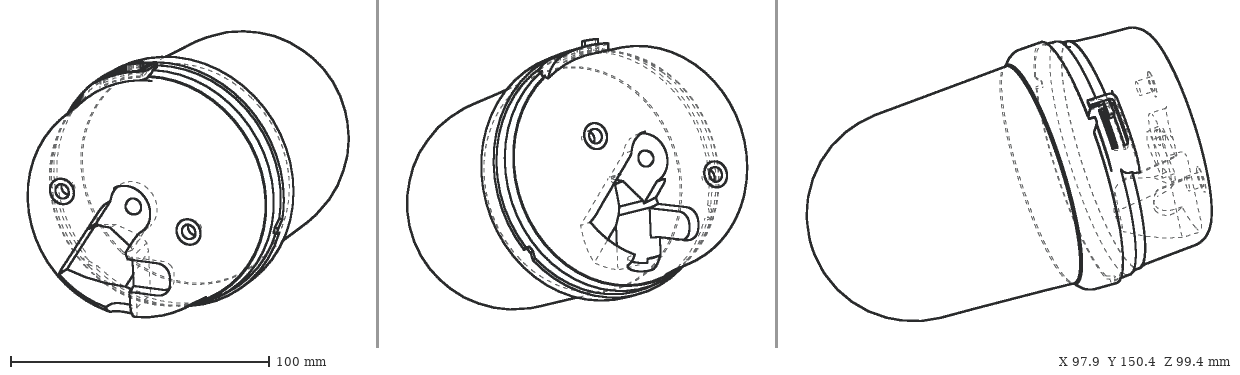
import cadquery as cq
import math

LENGTH = 150.4
OVERCUT = 1.5

RIM_RADIUS = 36.5
FACE_RADIUS = 35.5
FACE_SINK = 0.2
BASE_EDGE_RADIUS = 44.0
BASE_EDGE_Y = 6.9
SHOULDER_Y = 27.5
SHOULDER_RADIUS = 45.3
SHOULDER_STEP_Y = 30.5
SHOULDER_STEP_RADIUS = 45.9
SHOULDER_STEP = 0.3
SHOULDER_BULGE = 0.5
COLLAR_Y = 34.9
COLLAR_RADIUS = 47.4
COLLAR_TOP_RADIUS = 47.7

FLANGE_Y = 40.8
FLANGE_RADIUS = 48.95
FLANGE_ROUND_Y = 49.0
FLANGE_ROUND_RADIUS = 48.65
FLANGE_NECK_Y = 54.3
FLANGE_NECK_RADIUS = 45.9
FLANGE_BULGE = 0.8

LENS_Y = 56.7
LENS_RADIUS = 44.0
LENS_LIP = 0.3
LENS_LIP_Y = 56.0
DOME_RADIUS = 41.4

TOOTH_COUNT = 3
TOOTH_ANGLE = 103.8
TOOTH_TIP = 2.7
TOOTH_SPAN = 6.5
TOOTH_HEIGHT = 2.4

LATCH_RADIUS = 48.7
LATCH_ROOT_RADIUS = 43.6
LATCH_RIGHT = -4.0
LATCH_HEEL_ANGLE = 122.0
LATCH_HEEL_ROUND = 14.0
LATCH_TOP_Y = 38.7
LATCH_CORNER = 2.7
SLOT_CORNER = 1.5
LATCH_NOSE = [(-11.5, LATCH_TOP_Y), (-11.5, FLANGE_Y), (-10.4, FLANGE_Y), (-7.4, LATCH_TOP_Y)]
SLOT_FLOOR_RADIUS = 46.0
SLOT_LEFT = -24.5
UPPER_SLOT_RIGHT = -9.3
UPPER_SLOT_Y = (33.8, 35.8)
LOWER_SLOT_Y = (29.0, 31.1)
END_SLOT_X = (-7.5, -6.3)
GRIP_RADIUS = 51.06
GRIP_X = (-13.7, -7.7)
GRIP_Y = (31.1, 33.4)

SCREW_X, SCREW_Z = 26.9, 4.8
SCREW_HOLE_RADIUS = 2.9
SCREW_HOLE_DEPTH = 6.0
SCREW_SEAL_RADIUS = 5.1
SCREW_SEAL_DEPTH = 0.3
POCKET_RADIUS = 10.0
POCKET_EDGE_ROUND = 2.1
POCKET_DEPTH = 8.1
KNOB_RADIUS = 3.2

CHANNEL_TILT = 32.0
CHANNEL_HALF_WIDTH = 8.9
STEP_REACH = 13.1
STEP_CORNER_REACH = 16.1
STEP_CORNER_OFFSET = -3.3
STEP_DRAFT = 1.8
WELL_RADIUS = 40.9
WELL_DEPTH = 26.8
WELL_WALL_TOP = (0.3, -16.7)
WELL_WALL_BEND = (1.5, -19.7)
WELL_WALL_END = (2.7, -45.1)
WELL_WALL_DRAFT = 3.9
RAMP_HIGH_DEPTH = 8.7
RAMP_FOOT_OFFSET = 10.5

SIDE_SLOT_RIGHT = 19.1
SIDE_SLOT_Z = (-32.2, -19.1)
SIDE_SLOT_CORNER = 5.4
SIDE_SLOT_DEPTH = 5.7
SIDE_SLOT_TAPER = 8.0

NOTCH_X = -3.3
NOTCH_RADIUS = 5.4
NOTCH_CENTRE_Y = 5.3


def disc(radius, depth, x=0.0, z=0.0):
    """Cylinder along Y from the mounting face inwards."""
    return cq.Workplane("XZ").center(x, z).circle(radius).extrude(-depth)


def ring_band(radius, bottom_y, top_y):
    """Ring from the latch root out to the given radius."""
    band = cq.Workplane("XZ", origin=(0, bottom_y, 0)).circle(radius).circle(LATCH_ROOT_RADIUS)
    return band.extrude(bottom_y - top_y)


def upper_block(outline):
    """Prism over an outline in X and Y, reaching out above the axis."""
    return cq.Workplane("XY").polyline(outline).close().extrude(2 * FLANGE_RADIUS)


def upper_box(x_range, y_range):
    (x0, x1), (y0, y1) = x_range, y_range
    return upper_block([(x0, y0), (x1, y0), (x1, y1), (x0, y1)])


def turned_body():
    dome_centre = LENGTH - DOME_RADIUS
    rise = dome_centre - LENS_Y
    lean = math.acos(DOME_RADIUS / math.hypot(LENS_RADIUS, rise)) - math.atan2(rise, LENS_RADIUS)
    tangent = (DOME_RADIUS * math.cos(lean), dome_centre + DOME_RADIUS * math.sin(lean))
    half = (math.pi / 2 + lean) / 2
    dome_middle = (DOME_RADIUS * math.cos(half), dome_centre + DOME_RADIUS * math.sin(half))
    edge_middle = (
        RIM_RADIUS + (BASE_EDGE_RADIUS - RIM_RADIUS) * math.sin(math.pi / 4),
        BASE_EDGE_Y * (1 - math.cos(math.pi / 4)),
    )
    profile = (
        cq.Workplane("XY")
        .moveTo(0, FACE_SINK)
        .lineTo(FACE_RADIUS, FACE_SINK)
        .lineTo(RIM_RADIUS, 0)
        .threePointArc(edge_middle, (BASE_EDGE_RADIUS, BASE_EDGE_Y))
        .lineTo(SHOULDER_RADIUS, SHOULDER_Y)
        .lineTo(SHOULDER_STEP_RADIUS, SHOULDER_STEP_Y)
        .lineTo(SHOULDER_STEP_RADIUS + SHOULDER_STEP, SHOULDER_STEP_Y)
        .sagittaArc((COLLAR_RADIUS, COLLAR_Y), SHOULDER_BULGE)
        .lineTo(COLLAR_TOP_RADIUS, FLANGE_Y)
        .lineTo(FLANGE_RADIUS, FLANGE_Y)
        .lineTo(FLANGE_ROUND_RADIUS, FLANGE_ROUND_Y)
        .sagittaArc((FLANGE_NECK_RADIUS, FLANGE_NECK_Y), -FLANGE_BULGE)
        .lineTo(LENS_RADIUS + LENS_LIP, LENS_LIP_Y)
        .lineTo(LENS_RADIUS, LENS_Y)
        .lineTo(*tangent)
        .threePointArc(dome_middle, (0, LENGTH))
        .close()
    )
    return profile.revolve(360, (0, 0, 0), (0, 1, 0))


def bayonet_teeth():
    """Saw teeth hanging from the flange, steep on their clockwise side."""
    teeth = cq.Workplane("XY")
    arc_length = math.radians(1) * FLANGE_RADIUS
    saw = [
        (0, FLANGE_Y),
        (0, FLANGE_Y - TOOTH_HEIGHT),
        (-TOOTH_TIP * arc_length, FLANGE_Y - TOOTH_HEIGHT),
        (-TOOTH_SPAN * arc_length, FLANGE_Y),
    ]
    ring = ring_band(FLANGE_RADIUS, FLANGE_Y - TOOTH_HEIGHT, FLANGE_Y)
    prism = upper_block(saw)
    for index in range(TOOTH_COUNT):
        turn = 90 - TOOTH_ANGLE - index * 360 / TOOTH_COUNT
        teeth = teeth.add(prism.rotate((0, 0, 0), (0, 1, 0), turn).intersect(ring))
    return teeth


def heel_point(angle):
    """X and Z on the round that leaves the latch surface tangentially at its left end."""
    start = math.radians(LATCH_HEEL_ANGLE)
    centre_distance = LATCH_RADIUS - LATCH_HEEL_ROUND
    x = centre_distance * math.cos(start) + LATCH_HEEL_ROUND * math.cos(angle)
    z = centre_distance * math.sin(start) + LATCH_HEEL_ROUND * math.sin(angle)
    return x, z


def latch():
    """Curved clip beside the seam, with a freed tongue, its nose and a grip."""
    plate = upper_box((heel_point(math.pi)[0], LATCH_RIGHT), (SHOULDER_Y, LATCH_TOP_Y))
    plate = plate.edges("|Z and >X and <Y").fillet(LATCH_CORNER)
    plate = plate.union(upper_block(LATCH_NOSE))
    clip = ring_band(LATCH_RADIUS, SHOULDER_Y, FLANGE_Y).intersect(plate)
    heel_start = math.radians(LATCH_HEEL_ANGLE)
    heel = (
        cq.Workplane("XZ")
        .moveTo(*heel_point(heel_start))
        .threePointArc(heel_point((heel_start + math.pi) / 2), heel_point(math.pi))
        .lineTo(-FLANGE_RADIUS, heel_point(math.pi)[1])
        .lineTo(-FLANGE_RADIUS, FLANGE_RADIUS)
        .close()
        .extrude(-LENGTH)
    )
    clip = clip.cut(heel)

    lower_slot = upper_box((SLOT_LEFT, END_SLOT_X[1]), LOWER_SLOT_Y)
    lower_slot = lower_slot.edges("|Z and <Y").fillet(SLOT_CORNER)
    slots = (
        upper_box((SLOT_LEFT, UPPER_SLOT_RIGHT), UPPER_SLOT_Y)
        .union(lower_slot)
        .union(upper_box(END_SLOT_X, (sum(LOWER_SLOT_Y) / 2, FLANGE_Y)))
    )
    clip = clip.cut(slots.cut(disc(SLOT_FLOOR_RADIUS, LENGTH)))

    grip_ring = ring_band(GRIP_RADIUS, SHOULDER_Y, LATCH_TOP_Y)
    return clip.union(grip_ring.intersect(upper_box(GRIP_X, GRIP_Y)))


def turn_to_channel(tool):
    """Turn a tool built straight down -Z onto the channel direction."""
    return tool.rotate((0, 0, 0), (0, 1, 0), CHANNEL_TILT)


def centre_pocket():
    """Round pocket with a rounded mouth, joined by the shallow start of the channel."""
    mouth_radius = POCKET_RADIUS + POCKET_EDGE_ROUND
    round_end = FACE_SINK + POCKET_EDGE_ROUND
    pocket = (
        cq.Workplane("XY")
        .lineTo(mouth_radius, 0)
        .lineTo(mouth_radius, FACE_SINK)
        .radiusArc((POCKET_RADIUS, round_end), POCKET_EDGE_ROUND)
        .lineTo(POCKET_RADIUS, POCKET_DEPTH)
        .lineTo(0, POCKET_DEPTH)
        .close()
        .revolve(360, (0, 0, 0), (0, 1, 0))
    )
    width = 2 * CHANNEL_HALF_WIDTH
    start = cq.Workplane("XY").box(width, POCKET_DEPTH, STEP_CORNER_REACH, centered=(True, False, False))
    start = start.translate((0, 0, -STEP_CORNER_REACH))
    knob = cq.Workplane("XY").sphere(KNOB_RADIUS).translate((0, POCKET_DEPTH, 0))
    return pocket.union(turn_to_channel(start)).cut(knob)


def channel_point(offset, reach):
    """X and Z of a point given beside and along the channel axis."""
    turn = math.radians(CHANNEL_TILT)
    x = offset * math.cos(turn) - reach * math.sin(turn)
    z = -offset * math.sin(turn) - reach * math.cos(turn)
    return x, z


def cable_well():
    """Deep part of the channel behind the skirt, with a ramp on its floor."""
    left = -CHANNEL_HALF_WIDTH

    def well_outline(step_shift, wall_shift):
        wall = [(x - wall_shift, z) for x, z in (WELL_WALL_TOP, WELL_WALL_BEND, WELL_WALL_END)]
        return [
            channel_point(left, 2 * WELL_RADIUS),
            channel_point(left, STEP_CORNER_REACH + step_shift),
            channel_point(STEP_CORNER_OFFSET, STEP_REACH + step_shift),
        ] + wall

    well = (
        cq.Workplane("XZ", origin=(0, -OVERCUT, 0))
        .polyline(well_outline(0, 0))
        .close()
        .workplane(offset=-WELL_DEPTH - OVERCUT)
        .polyline(well_outline(STEP_DRAFT, WELL_WALL_DRAFT))
        .close()
        .loft(ruled=True)
        .intersect(disc(WELL_RADIUS, 2 * WELL_DEPTH).translate((0, -OVERCUT, 0)))
    )
    ramp = (
        cq.Workplane("XY")
        .moveTo(left, RAMP_HIGH_DEPTH)
        .lineTo(RAMP_FOOT_OFFSET, WELL_DEPTH)
        .lineTo(left, WELL_DEPTH)
        .close()
        .extrude(-2 * WELL_RADIUS)
    )
    return well.cut(turn_to_channel(ramp))


def side_slot():
    """Shallow slot with slightly leaning walls."""
    z0, z1 = SIDE_SLOT_Z
    x0 = WELL_WALL_TOP[0] - WELL_WALL_DRAFT
    outline = cq.Sketch().rect(SIDE_SLOT_RIGHT - x0, z1 - z0)
    outline = outline.vertices(">X").fillet(SIDE_SLOT_CORNER)
    slot = cq.Workplane("XZ").center((x0 + SIDE_SLOT_RIGHT) / 2, (z0 + z1) / 2)
    return slot.placeSketch(outline).extrude(-SIDE_SLOT_DEPTH, taper=SIDE_SLOT_TAPER)


def cable_notch():
    """Round-bottomed notch through the skirt, open towards the mounting face."""
    width = 2 * NOTCH_RADIUS
    plan = cq.Workplane("XY").center(NOTCH_X, NOTCH_CENTRE_Y)
    notch = plan.circle(NOTCH_RADIUS).extrude(-FLANGE_RADIUS)
    mouth = cq.Workplane("XY").box(width, NOTCH_CENTRE_Y, FLANGE_RADIUS, centered=(True, False, False))
    notch = notch.union(mouth.translate((NOTCH_X, 0, -FLANGE_RADIUS)))
    return notch.cut(disc(WELL_RADIUS - OVERCUT, NOTCH_CENTRE_Y + NOTCH_RADIUS))


def screw_holes():
    """Two blind holes opposite each other, each in a shallow round seat."""
    holes = cq.Workplane("XY")
    for side in (-1, 1):
        x, z = side * SCREW_X, -side * SCREW_Z
        hole = disc(SCREW_HOLE_RADIUS, SCREW_HOLE_DEPTH, x, z)
        holes = holes.add(hole.union(disc(SCREW_SEAL_RADIUS, SCREW_SEAL_DEPTH, x, z)))
    return holes


body = turned_body().union(bayonet_teeth()).union(latch())
for opening in (centre_pocket(), cable_well(), side_slot(), cable_notch(), screw_holes()):
    body = body.cut(opening)
result = body